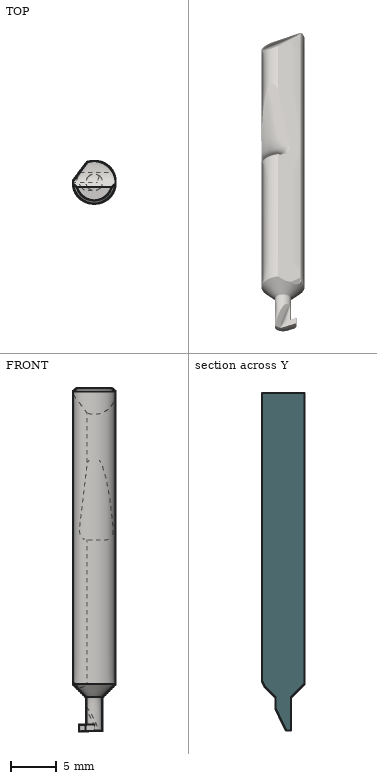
import cadquery as cq
import math

TOTAL_LENGTH = 38.1
SHANK_RADIUS = 2.38
TOP_CHAMFER = 0.4

NECK_RADIUS = 0.9
NECK_LENGTH = 3.8
SHOULDER_Z = NECK_LENGTH + SHANK_RADIUS - NECK_RADIUS

HEAD_HEIGHT = 0.75
HEAD_REACH = 1.7
HEAD_HEEL_X = -1.0
HEAD_BULGE = (-1.45, -0.55)
TIP_RELIEF = 2.0

FLAT_ANGLE = 143.0
FLAT_DISTANCE = 2.0

SLOPE_TOP_Y = -0.55

NOTCH_RADIUS = 1.2
NOTCH_CENTER_Y = 2.3
NOTCH_CENTER_Z = 22.4
NOTCH_RAMP_ANGLE = math.radians(9.0)

WALL_START_Z = 2.7
WALL_LEAN = math.radians(25.0)
WALL_TURN = 18.0

CUT_SIZE = 3 * SHANK_RADIUS


def make_shank_and_neck():
    profile = [
        (0, 0),
        (NECK_RADIUS, 0),
        (NECK_RADIUS, NECK_LENGTH),
        (SHANK_RADIUS, SHOULDER_Z),
        (SHANK_RADIUS, TOTAL_LENGTH - TOP_CHAMFER),
        (SHANK_RADIUS - TOP_CHAMFER, TOTAL_LENGTH),
        (0, TOTAL_LENGTH),
    ]
    return cq.Workplane("XZ").polyline(profile).close().revolve(360, (0, 0), (0, 1))


def make_head():
    return (
        cq.Workplane("XY")
        .moveTo(0, 0)
        .lineTo(-HEAD_REACH, 0)
        .threePointArc(HEAD_BULGE, (HEAD_HEEL_X, -NECK_RADIUS))
        .lineTo(0, -NECK_RADIUS)
        .close()
        .extrude(HEAD_HEIGHT)
    )


def make_side_flat():
    return (
        cq.Workplane("XY")
        .box(CUT_SIZE, CUT_SIZE, TOTAL_LENGTH, centered=(False, True, False))
        .translate((FLAT_DISTANCE, 0, 0))
        .rotate((0, 0, 0), (0, 0, 1), FLAT_ANGLE)
    )


def make_top_slope():
    drop = CUT_SIZE - SLOPE_TOP_Y
    profile = [
        (SLOPE_TOP_Y, TOTAL_LENGTH),
        (CUT_SIZE, TOTAL_LENGTH),
        (CUT_SIZE, TOTAL_LENGTH - drop),
    ]
    return cq.Workplane("YZ").polyline(profile).close().extrude(CUT_SIZE, both=True)


def make_clamping_notch():
    def on_floor(angle):
        return (
            NOTCH_CENTER_Y + NOTCH_RADIUS * math.cos(angle),
            NOTCH_CENTER_Z + NOTCH_RADIUS * math.sin(angle),
        )

    floor_start = 1.5 * math.pi
    ramp_start = math.pi - NOTCH_RAMP_ANGLE
    ramp_y, ramp_z = on_floor(ramp_start)
    outer_y = SHANK_RADIUS + 0.4
    ramp_end_z = ramp_z + (outer_y - ramp_y) / math.tan(NOTCH_RAMP_ANGLE)
    return (
        cq.Workplane("YZ")
        .moveTo(outer_y, NOTCH_CENTER_Z - NOTCH_RADIUS)
        .lineTo(*on_floor(floor_start))
        .threePointArc(on_floor((floor_start + ramp_start) / 2), (ramp_y, ramp_z))
        .lineTo(outer_y, ramp_end_z)
        .close()
        .extrude(CUT_SIZE, both=True)
    )


def make_chip_clearance():
    wall_bottom_x = -NECK_RADIUS + WALL_START_Z * math.tan(WALL_LEAN)
    wall_top_z = CUT_SIZE / math.tan(WALL_LEAN)
    profile = [(0, 0), (-CUT_SIZE, 0), (-CUT_SIZE, wall_top_z)]
    wedge = (
        cq.Workplane("XZ")
        .polyline(profile)
        .close()
        .extrude(CUT_SIZE, both=True)
        .rotate((0, 0, 0), (0, 0, 1), -WALL_TURN)
        .translate((wall_bottom_x, 0, 0))
    )
    rake_side = cq.Workplane("XY").box(
        2 * CUT_SIZE, CUT_SIZE, TOTAL_LENGTH, centered=(True, False, False)
    )
    return wedge.intersect(rake_side)


def make_bottom_relief():
    return (
        cq.Workplane("XY")
        .box(2 * CUT_SIZE, 2 * CUT_SIZE, HEAD_HEIGHT, centered=(True, True, False))
        .translate((0, 0, -HEAD_HEIGHT))
        .rotate((0, 0, 0), (0, 1, 0), -TIP_RELIEF)
        .rotate((0, 0, 0), (1, 0, 0), -TIP_RELIEF)
        .translate((-HEAD_REACH, 0, 0))
    )


result = (
    make_shank_and_neck()
    .union(make_head())
    .cut(make_side_flat())
    .cut(make_top_slope())
    .cut(make_clamping_notch())
    .cut(make_chip_clearance())
    .cut(make_bottom_relief())
)